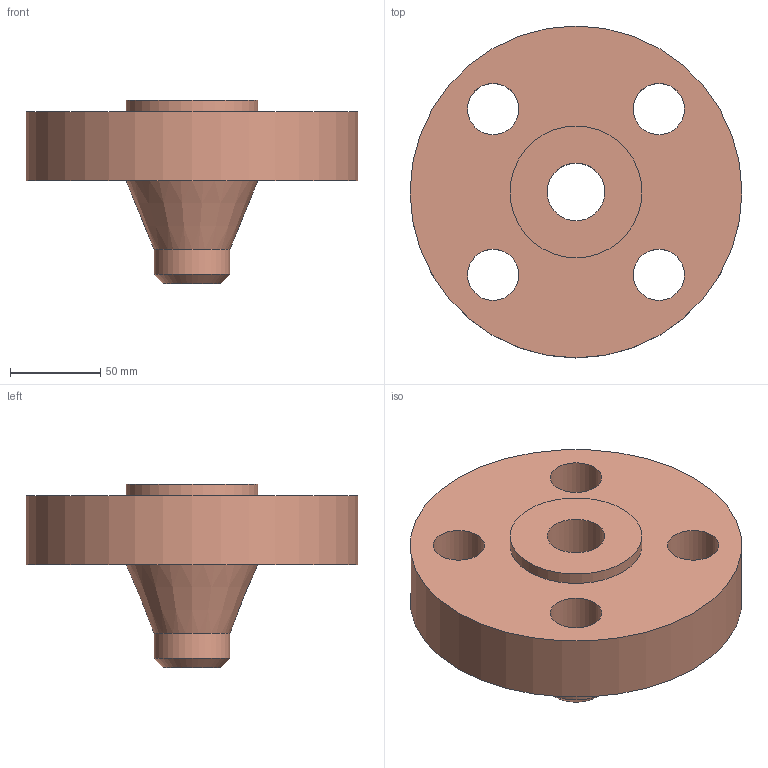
import cadquery as cq

flange_diameter = 184.15
overall_height = 101.6

plate_thickness = 38.1
raised_face_height = 6.35
raised_face_diameter = 73.15

hub_base_diameter = raised_face_diameter
pipe_diameter = 42.16
taper_height = 38.1
bore_diameter = 32.0

bevel_height = (pipe_diameter - bore_diameter) / 2

bolt_hole_count = 4
bolt_hole_diameter = 28.45
bolt_circle_diameter = 130.1
first_bolt_angle = 45.0

plate_top = overall_height - raised_face_height
plate_bottom = plate_top - plate_thickness
taper_bottom = plate_bottom - taper_height


def flange_body():
    """Revolve the half section, from the bore wall outwards, about Z."""
    section = (
        cq.Workplane("XZ")
        .moveTo(bore_diameter / 2, 0)
        .lineTo(pipe_diameter / 2, bevel_height)
        .lineTo(pipe_diameter / 2, taper_bottom)
        .lineTo(hub_base_diameter / 2, plate_bottom)
        .lineTo(flange_diameter / 2, plate_bottom)
        .lineTo(flange_diameter / 2, plate_top)
        .lineTo(raised_face_diameter / 2, plate_top)
        .lineTo(raised_face_diameter / 2, overall_height)
        .lineTo(bore_diameter / 2, overall_height)
        .close()
    )
    return section.revolve(360, (0, 0, 0), (0, 1, 0))


def bolt_hole_cutters():
    """Bolt holes through the plate, evenly spaced on the bolt circle."""
    return (
        cq.Workplane("XY", origin=(0, 0, plate_bottom))
        .polarArray(bolt_circle_diameter / 2, first_bolt_angle, 360, bolt_hole_count)
        .circle(bolt_hole_diameter / 2)
        .extrude(plate_thickness)
    )


result = flange_body().cut(bolt_hole_cutters())